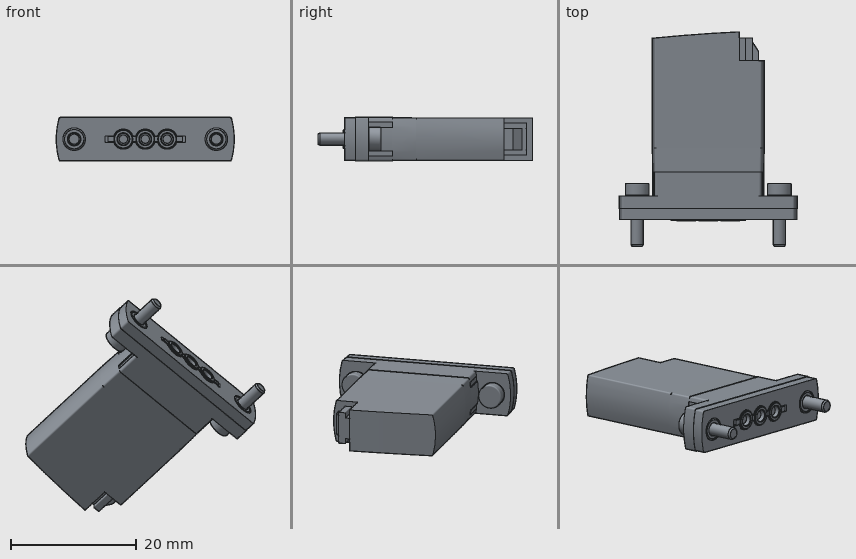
import cadquery as cq


plate_end = 1.75
flange_end = 3.8
neck_end = 7.6
taper_end = 11.42
shoulder_y = 25.35
hood_low_y = 28.9
hood_mid_y = 29.65
hood_top_y = 29.92

side_radius = 12.65
thickness = 7.0
slim_thickness = 6.85
hood_thickness = 6.8
flange_width = 28.4
front_plate_width = 28.32
neck_width = 17.7
hood_width = 17.92
flange_edge_radius = 0.35
hood_edge_radius = 0.27

groove_inner_z = 1.88
groove_outer_z = 2.7
groove_floor_x = 8.55

notch_x = 4.95
tongue_end_y = 28.95
tongue_outer_x = 8.05
tongue_slope_start_y = 26.78
tongue_slope_end_y = 28.25
tongue_thickness = 3.42
rib_inner_x = 5.95
rib_outer_x = 7.08
rib_thickness = 5.13
rib_edge_radius = 0.1

contact_pitch = 3.5
contact_count = 3
boss_diameter = 3.0
boss_height = 0.25
boss_chamfer = 0.1
mouth_diameter = 1.85
mouth_depth = 1.37
mouth_chamfer = 0.1
pin_diameter = 1.35
pin_tip_y = 0.4
web_height = 0.12
web_width = 0.82
web_half_length = 5.95
web_corner_radius = 0.15
seal_gap = 0.1
pocket_depth = 0.35
pocket_half_length = 6.4
pocket_slot_width = web_width + 2 * seal_gap
pocket_round_diameter = boss_diameter + 2 * seal_gap
pocket_corner_radius = 0.15

screw_x = 11.32
screw_hole_diameter = 2.15
shank_diameter = 2.0
tip_y = -4.28
tip_chamfer_length = 0.3
tip_chamfer_width = 0.188
head_diameter = 3.8
head_height = 2.0
head_edge_radius = 0.2
head_seat_chamfer = 0.1
ring_groove_diameter = 3.6
ring_groove_width = 0.255
ring_groove_depth = 0.255

screw_positions = (-screw_x, screw_x)


def xz_plane(y):
    """Sketch plane facing -Y at station y: local x is X, local y is Z, positive extrusion runs to -Y."""
    return cq.Workplane(cq.Plane(origin=(0, y, 0), xDir=(1, 0, 0), normal=(0, -1, 0)))


def bulged_outline(y, width, height):
    """Outline with flat top and bottom and sides bulging out to the full width."""
    half_width = width / 2
    half_height = height / 2
    bulge = side_radius - (side_radius**2 - half_height**2) ** 0.5
    corner_x = half_width - bulge
    return (
        xz_plane(y)
        .moveTo(-corner_x, -half_height)
        .lineTo(corner_x, -half_height)
        .threePointArc((half_width, 0), (corner_x, half_height))
        .lineTo(-corner_x, half_height)
        .threePointArc((-half_width, 0), (-corner_x, -half_height))
        .close()
    )


def bulged_block(start_y, end_y, width, height, edge_radius):
    block = bulged_outline(start_y, width, height).extrude(start_y - end_y)
    return block.edges("|Y").fillet(edge_radius)


def cylinder_y(x, start_y, end_y, diameter):
    return xz_plane(start_y).center(x, 0).circle(diameter / 2).extrude(start_y - end_y)


def make_flange():
    front_plate = bulged_block(0, plate_end, front_plate_width, slim_thickness, flange_edge_radius)
    rear_plate = bulged_block(plate_end, flange_end, flange_width, thickness, flange_edge_radius)
    return front_plate.union(rear_plate)


def make_neck():
    neck = bulged_block(flange_end, neck_end, neck_width, thickness, flange_edge_radius)
    groove_depth = neck_width / 2 - groove_floor_x
    groove_width = groove_outer_z - groove_inner_z
    for x_sign in (-1, 1):
        for z_sign in (-1, 1):
            groove = cq.Workplane().box(groove_depth, neck_end - flange_end, groove_width).translate((
                x_sign * (groove_floor_x + groove_depth / 2),
                (flange_end + neck_end) / 2,
                z_sign * (groove_inner_z + groove_width / 2),
            ))
            neck = neck.cut(groove)
    return neck


def make_taper():
    """Short stretch of the hood that widens from the neck to the full hood width."""
    narrow = bulged_outline(neck_end, neck_width, slim_thickness).wires().val()
    wide = bulged_outline(taper_end, hood_width, hood_thickness).wires().val()
    taper = cq.Workplane(cq.Solid.makeLoft([narrow, wide], True))
    return taper.edges("not(<Y or >Y)").fillet(hood_edge_radius)


def make_hood():
    half_width = hood_width / 2
    block = bulged_block(taper_end, hood_top_y, hood_width, hood_thickness, hood_edge_radius)
    plan = (
        cq.Workplane()
        .moveTo(-half_width, taper_end)
        .lineTo(half_width, taper_end)
        .lineTo(half_width, shoulder_y)
        .lineTo(notch_x, shoulder_y)
        .lineTo(notch_x, hood_top_y)
        .threePointArc((0, hood_mid_y), (-half_width, hood_low_y))
        .close()
        .extrude(thickness / 2, both=True)
    )
    return block.intersect(plan)


def make_tongue():
    """Sloped tongue in the corner notch, with a rib along its middle."""
    tongue = (
        cq.Workplane()
        .moveTo(notch_x, shoulder_y)
        .lineTo(tongue_outer_x, shoulder_y)
        .lineTo(tongue_outer_x, tongue_slope_start_y)
        .lineTo(rib_outer_x, tongue_slope_end_y)
        .lineTo(rib_outer_x, tongue_end_y)
        .lineTo(notch_x, tongue_end_y)
        .close()
        .extrude(tongue_thickness / 2, both=True)
    )
    rib = (
        cq.Workplane()
        .box(rib_outer_x - rib_inner_x, tongue_end_y - shoulder_y, rib_thickness)
        .edges("|Y")
        .fillet(rib_edge_radius)
        .translate(((rib_inner_x + rib_outer_x) / 2, (shoulder_y + tongue_end_y) / 2, 0))
    )
    return tongue.union(rib)


def contact_positions():
    first_x = -contact_pitch * (contact_count - 1) / 2
    return [first_x + i * contact_pitch for i in range(contact_count)]


def cut_seal_pocket(housing):
    """Shallow pocket that surrounds the bosses and the web with a narrow gap."""
    pocket = (
        xz_plane(0)
        .rect(2 * pocket_half_length, pocket_slot_width)
        .extrude(-pocket_depth)
        .edges("|Y")
        .fillet(pocket_corner_radius)
    )
    for x in contact_positions():
        pocket = pocket.union(cylinder_y(x, 0, pocket_depth, pocket_round_diameter))
    return housing.cut(pocket)


def add_contact_seal(housing):
    """Raised bosses round the contact bores, joined by a lower web; each bore holds a recessed pin."""
    web = (
        xz_plane(pocket_depth)
        .rect(2 * web_half_length, web_width)
        .extrude(pocket_depth + web_height)
        .edges("|Y")
        .fillet(web_corner_radius)
    )
    housing = housing.union(web)
    for x in contact_positions():
        boss = cylinder_y(x, pocket_depth, -boss_height, boss_diameter)
        housing = housing.union(boss.faces("<Y").chamfer(boss_chamfer))
    for x in contact_positions():
        mouth = cylinder_y(x, -boss_height, mouth_depth, mouth_diameter)
        pin = cylinder_y(x, pin_tip_y, mouth_depth, pin_diameter)
        mouth_bevel = cq.Workplane(cq.Solid.makeCone(
            mouth_diameter / 2 + mouth_chamfer,
            mouth_diameter / 2,
            mouth_chamfer,
            cq.Vector(x, -boss_height, 0),
            cq.Vector(0, 1, 0),
        ))
        housing = housing.cut(mouth).cut(mouth_bevel).union(pin)
    return housing


def cut_screw_seats(housing):
    """Clearance holes through the flange, each ringed by a V groove in the mating face."""
    groove_radius = ring_groove_diameter / 2
    for x in screw_positions:
        hole = cylinder_y(x, 0, flange_end, screw_hole_diameter)
        ring_groove = (
            cq.Workplane()
            .moveTo(groove_radius - ring_groove_width, 0)
            .lineTo(groove_radius, 0)
            .lineTo(groove_radius, ring_groove_depth)
            .close()
            .revolve(360, (0, 0, 0), (0, 1, 0))
            .translate((x, 0, 0))
        )
        housing = housing.cut(hole).cut(ring_groove)
    return housing


def make_housing():
    housing = make_flange().union(make_neck()).union(make_taper()).union(make_hood()).union(make_tongue())
    housing = cut_seal_pocket(housing)
    housing = add_contact_seal(housing)
    return cut_screw_seats(housing)


def make_screw(x):
    """Cylinder-head screw resting on the rear face of the flange."""
    head_radius = head_diameter / 2
    shank_radius = shank_diameter / 2
    head_top_y = flange_end + head_height
    profile = (
        cq.Workplane()
        .moveTo(0, tip_y)
        .lineTo(shank_radius - tip_chamfer_width, tip_y)
        .lineTo(shank_radius, tip_y + tip_chamfer_length)
        .lineTo(shank_radius, flange_end)
        .lineTo(head_radius - head_seat_chamfer, flange_end)
        .lineTo(head_radius, flange_end + head_seat_chamfer)
        .lineTo(head_radius, head_top_y - head_edge_radius)
        .radiusArc((head_radius - head_edge_radius, head_top_y), -head_edge_radius)
        .lineTo(0, head_top_y)
        .close()
    )
    return profile.revolve(360, (0, 0, 0), (0, 1, 0)).translate((x, 0, 0))


housing = make_housing()
screws = [make_screw(x) for x in screw_positions]

result = cq.Compound.makeCompound([housing.val(), *[screw.val() for screw in screws]])